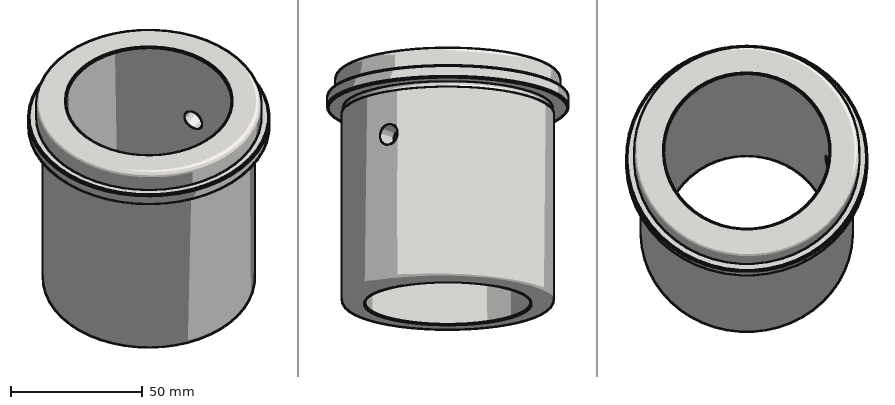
import cadquery as cq

total_height = 90.0
head_height = 8.0
flange_height = 5.0
flange_top = total_height - head_height
flange_bottom = flange_top - flange_height

flange_radius = 46.0
head_radius = 42.95
body_radius = 40.5
bore_radius = 31.45

rim_fillet = 2.0
flange_chamfer = 0.55
bore_chamfer = 0.5

groove_height = 2.2
groove_depth = 1.0
groove_root_drop = 0.7
groove_top_depth = 0.5

hole_diameter = 8.0
hole_drop = 32.2


def cylinder(radius, bottom, top):
    return cq.Workplane("XY").workplane(offset=bottom).circle(radius).extrude(top - bottom)


def make_outer_shape():
    body = cylinder(body_radius, 0, flange_bottom).faces("<Z").edges().fillet(rim_fillet)
    flange = cylinder(flange_radius, flange_bottom, flange_top).edges("%CIRCLE").chamfer(flange_chamfer)
    head = cylinder(head_radius, flange_top, total_height).faces(">Z").edges().fillet(rim_fillet)
    return body.union(flange).union(head)


def make_relief_groove():
    """Ring with a round-bottomed section, cut into the body just below the flange, deepest near the flange."""
    return (
        cq.Workplane("XZ")
        .moveTo(body_radius, flange_bottom - groove_height)
        .threePointArc(
            (body_radius - groove_depth, flange_bottom - groove_root_drop),
            (body_radius - groove_top_depth, flange_bottom),
        )
        .lineTo(body_radius, flange_bottom)
        .close()
        .revolve(360, (0, 0, 0), (0, 1, 0))
    )


def make_bore():
    """Through bore, widened by a chamfer at both ends."""
    mouth_radius = bore_radius + bore_chamfer
    return (
        cq.Workplane("XZ")
        .polyline([
            (0, 0),
            (mouth_radius, 0),
            (bore_radius, bore_chamfer),
            (bore_radius, total_height - bore_chamfer),
            (mouth_radius, total_height),
            (0, total_height),
        ])
        .close()
        .revolve(360, (0, 0, 0), (0, 1, 0))
    )


def make_radial_hole():
    """Cylinder from the axis out through the +Y wall."""
    return (
        cq.Workplane("XZ")
        .center(0, total_height - hole_drop)
        .circle(hole_diameter / 2)
        .extrude(-flange_radius)
    )


result = (
    make_outer_shape()
    .cut(make_relief_groove())
    .cut(make_bore())
    .cut(make_radial_hole())
)